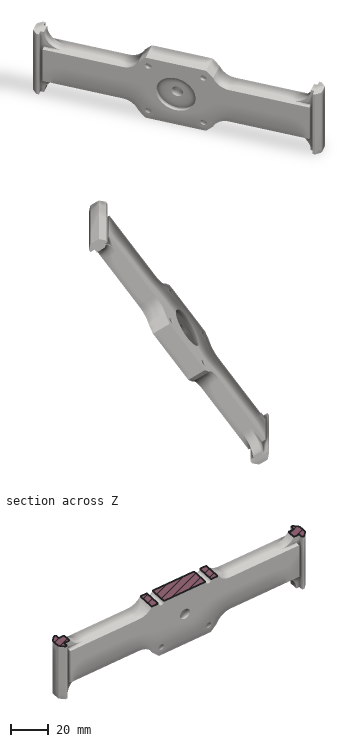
import cadquery as cq
LENGTH = 162.2
THICKNESS = 10.8
HEIGHT = 42.0

ARM_LENGTH = 75.0
ARM_HEIGHT = 22.0
HUB_FLAT = 34.0
HUB_CORNER_CUT = 4.0
ARM_START_X = 30.0

WEB_THICKNESS = THICKNESS / 2
RAIL_CHAMFER = (THICKNESS - WEB_THICKNESS) / 2
RAIL_INNER_X = 77.0
FLARE_RADIUS = (HEIGHT - ARM_HEIGHT) / 2

SHAFT_HOLE_DIAMETER = 6.5
RECESS_DIAMETER = 22.2
RECESS_DEPTH = 2.5
SCREW_HOLE_DIAMETER = 3.5
SCREW_SPACING = 31.0

HALF_LENGTH = LENGTH / 2
HALF_THICKNESS = THICKNESS / 2
HALF_HEIGHT = HEIGHT / 2
HALF_ARM = ARM_HEIGHT / 2


def extrude_through_y(outline, thickness):
    """Extrude an XZ outline symmetrically about the plane Y = 0."""
    return outline.extrude(thickness / 2, both=True)


def make_arms():
    """Full-thickness bar running the length of both arms."""
    return cq.Workplane("XY").box(2 * ARM_LENGTH, THICKNESS, ARM_HEIGHT)


def make_hub():
    """Hub with cut corners joined to the arms by neck arcs."""
    half_flat = HUB_FLAT / 2
    neck_x = half_flat + HUB_CORNER_CUT
    neck_z = HALF_HEIGHT - HUB_CORNER_CUT
    neck_run = ARM_START_X - neck_x
    neck_rise = neck_z - HALF_ARM
    neck_radius = (neck_run**2 + neck_rise**2) / (2 * neck_rise)
    outline = (
        cq.Workplane("XZ")
        .moveTo(-half_flat, HALF_HEIGHT)
        .lineTo(half_flat, HALF_HEIGHT)
        .lineTo(neck_x, neck_z)
        .radiusArc((ARM_START_X, HALF_ARM), -neck_radius)
        .lineTo(ARM_START_X, -HALF_ARM)
        .radiusArc((neck_x, -neck_z), -neck_radius)
        .lineTo(half_flat, -HALF_HEIGHT)
        .lineTo(-half_flat, -HALF_HEIGHT)
        .lineTo(-neck_x, -neck_z)
        .radiusArc((-ARM_START_X, -HALF_ARM), -neck_radius)
        .lineTo(-ARM_START_X, HALF_ARM)
        .radiusArc((-neck_x, neck_z), -neck_radius)
        .close()
    )
    return extrude_through_y(outline, THICKNESS)


def make_web():
    """Thin web at the +X end, flaring from the arm to the full rail height."""
    flare_start_x = ARM_LENGTH - FLARE_RADIUS
    outline = (
        cq.Workplane("XZ")
        .moveTo(flare_start_x, HALF_ARM)
        .radiusArc((ARM_LENGTH, HALF_HEIGHT), -FLARE_RADIUS)
        .lineTo(RAIL_INNER_X, HALF_HEIGHT)
        .lineTo(RAIL_INNER_X, -HALF_HEIGHT)
        .lineTo(ARM_LENGTH, -HALF_HEIGHT)
        .radiusArc((flare_start_x, -HALF_ARM), -FLARE_RADIUS)
        .close()
    )
    return extrude_through_y(outline, WEB_THICKNESS)


def make_rail():
    """Full-height rail at the +X end with its two outer edges chamfered."""
    rail_width = HALF_LENGTH - RAIL_INNER_X
    return (
        cq.Workplane("XY")
        .box(rail_width, THICKNESS, HEIGHT)
        .edges("|Z and >X")
        .chamfer(RAIL_CHAMFER)
        .translate((RAIL_INNER_X + rail_width / 2, 0, 0))
    )


def cylinder_along_y(diameter, start_y, length):
    """Cylinder on the Y axis running from start_y in the +Y direction."""
    return cq.Workplane("XZ", origin=(0, start_y, 0)).circle(diameter / 2).extrude(-length)


def cut_holes(body):
    """Cut the shaft hole, the recess around it and the four screw holes."""
    front_y = -HALF_THICKNESS
    body = body.cut(cylinder_along_y(SHAFT_HOLE_DIAMETER, front_y, THICKNESS))
    body = body.cut(cylinder_along_y(RECESS_DIAMETER, front_y, RECESS_DEPTH))
    screw_hole = cylinder_along_y(SCREW_HOLE_DIAMETER, front_y, THICKNESS)
    for x in (-SCREW_SPACING / 2, SCREW_SPACING / 2):
        for z in (-SCREW_SPACING / 2, SCREW_SPACING / 2):
            body = body.cut(screw_hole.translate((x, 0, z)))
    return body


right_end = make_web().union(make_rail())
left_end = right_end.mirror("YZ")
result = cut_holes(make_arms().union(make_hub()).union(right_end).union(left_end))